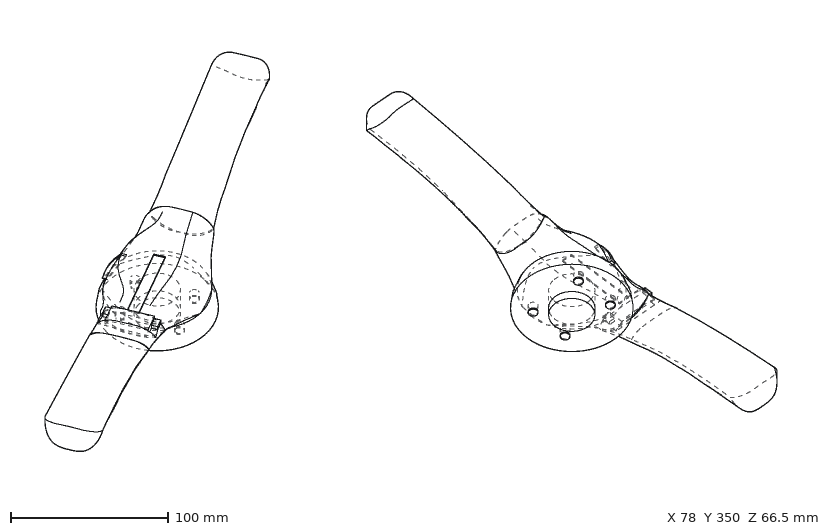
import cadquery as cq
import math


SPINDLE_RADIUS = 14.7
BASE_DIAMETER = 78.0
BASE_RADIUS = BASE_DIAMETER / 2
BASE_TOP_RADIUS = 34.5
BASE_BOTTOM_Z = 6.3
BASE_TOP_Z = 22.5
SCREW_RADIUS = 3.0
SCREW_X = 20.0
SCREW_Y = 14.7
SCREW_PROUD = 1.0
SCREW_DEPTH = 5.2

LENGTH = 350.0
HALF_LENGTH = LENGTH / 2
CROWN_RADIUS = 140.0
HUB_TOP_Z = 49.0
NECK_Y = 48.0
NECK_BOTTOM_Z = 28.0
NECK_EDGE_Z = 38.5
NECK_HALF_WIDTH = 21.7
NECK_CROWN = 7.7
GRIP_ROOT_Y = 76.0
GRIP_CROWN = 11.0
GRIP_END_HALF_WIDTH = 19.5
GRIP_CORNER_RADIUS = 11.2
SHOULDER_END_DIRECTION = (0.5, -1)
FLAT_TOP_BULGE = 0.88

GROOVE_HALF_WIDTH = 4.0
GROOVE_END_Y = 4.5
GROOVE_DEPTH = 1.0
POCKET_LENGTH = 13.3
POCKET_START_Y = -NECK_Y - POCKET_LENGTH
POCKET_FLOOR_Z = 44.0

LATCH_HALF_WIDTH = 14.5
LATCH_TAB_HALF_WIDTH = 18.5
LATCH_TAB_LENGTH = 6.3
LATCH_TAB_TOP_Z = 47.0

POINTER_TOP = (-24.0, 46.5)
POINTER_MIDDLE = (-31.0, 36.8)
POINTER_BOTTOM = (-36.5, BASE_TOP_Z)
POINTER_TOP_HALF_WIDTH = 0.7
POINTER_HALF_WIDTH = 1.58
POINTER_THICKNESS = 3.5

CLEARANCE = 35.0


def block(half_width, y_start, y_end, z_bottom, z_top):
    """Box centred on X between two Y and two Z positions."""
    box = cq.Workplane("XY").box(
        2 * half_width, y_end - y_start, z_top - z_bottom, centered=(True, False, False)
    )
    return box.translate((0, y_start, z_bottom))


def loft(sections):
    return cq.Workplane(obj=cq.Solid.makeLoft(sections))


def crown_z(x, top_z):
    """Height of the crown at a distance x from the middle."""
    return top_z - CROWN_RADIUS + math.sqrt(CROWN_RADIUS**2 - x**2)


def bowed_wall(sketch, start, end, bulge):
    """Add an arc from start to end whose middle lies bulge to the left of the straight chord."""
    run = end[0] - start[0]
    rise = end[1] - start[1]
    chord = math.hypot(run, rise)
    middle = (
        (start[0] + end[0]) / 2 - bulge * rise / chord,
        (start[1] + end[1]) / 2 + bulge * run / chord,
    )
    return sketch.threePointArc(middle, end)


def hub_section(y, bottom_z, edge_z, half_width, crown_left, crown_right, bulge_left, bulge_right):
    """Section of the hub, whose crown reaches further towards -X than towards +X."""
    left_crown = (-crown_left, crown_z(crown_left, HUB_TOP_Z))
    right_crown = (crown_right, crown_z(crown_right, HUB_TOP_Z))
    left_edge = (-half_width, edge_z)
    right_edge = (half_width, edge_z)
    sketch = cq.Workplane("XZ", origin=(0, y, 0)).moveTo(*left_crown)
    sketch = sketch.threePointArc((0, HUB_TOP_Z), right_crown)
    sketch = bowed_wall(sketch, right_crown, right_edge, bulge_right)
    sketch = sketch.threePointArc((0, bottom_z), left_edge)
    sketch = bowed_wall(sketch, left_edge, left_crown, bulge_left)
    return sketch.close().val()


def make_hub():
    def end(y):
        return hub_section(
            y, bottom_z=NECK_BOTTOM_Z, edge_z=NECK_EDGE_Z, half_width=NECK_HALF_WIDTH,
            crown_left=NECK_CROWN, crown_right=NECK_CROWN, bulge_left=2.5, bulge_right=2.5,
        )

    def shoulder(y):
        return hub_section(
            y, bottom_z=24.5, edge_z=33.5, half_width=24.5,
            crown_left=11.0, crown_right=8.8, bulge_left=2.0, bulge_right=2.8,
        )

    def flank(y):
        return hub_section(
            y, bottom_z=19.2, edge_z=28.0, half_width=28.0,
            crown_left=15.8, crown_right=10.5, bulge_left=1.5, bulge_right=2.5,
        )

    def waist(y):
        return hub_section(
            y, bottom_z=14.0, edge_z=BASE_TOP_Z, half_width=33.0,
            crown_left=22.5, crown_right=12.5, bulge_left=0.7, bulge_right=2.0,
        )

    middle = hub_section(
        0, bottom_z=12.2, edge_z=20.0, half_width=BASE_TOP_RADIUS,
        crown_left=24.0, crown_right=13.3, bulge_left=0.7, bulge_right=2.0,
    )
    front_half = [end(-NECK_Y), shoulder(-36.8), flank(-24.5), waist(-11.5)]
    rear_half = [waist(11.5), flank(24.5), shoulder(36.8), end(NECK_Y)]
    return loft([*front_half, middle, *rear_half])


def arm_section(y, top_z, bottom_z, edge_z, half_width, crown=GRIP_CROWN, flat_top=False):
    """Symmetric section in two halves. A flat top meets the shoulders in a crease."""
    right_crown = (crown, crown_z(crown, top_z))
    left_crown = (-crown, right_crown[1])
    right_edge = (half_width, edge_z)
    left_edge = (-half_width, edge_z)
    half_crown = crown / 2
    half_crown_z = crown_z(half_crown, top_z)
    belly_x = half_width * math.sqrt(0.5)
    belly_z = edge_z - (edge_z - bottom_z) * math.sqrt(0.5)

    sketch = cq.Workplane("XZ", origin=(0, y, 0)).moveTo(0, top_z)
    if flat_top:
        sketch = sketch.threePointArc((half_crown, half_crown_z), right_crown)
        sketch = bowed_wall(sketch, right_crown, right_edge, FLAT_TOP_BULGE)
    else:
        directions = [(1, 0), SHOULDER_END_DIRECTION]
        sketch = sketch.spline([right_crown, right_edge], tangents=directions, includeCurrent=True)

    sketch = sketch.threePointArc((belly_x, belly_z), (0, bottom_z))
    sketch = sketch.threePointArc((-belly_x, belly_z), left_edge)

    if flat_top:
        sketch = bowed_wall(sketch, left_edge, left_crown, FLAT_TOP_BULGE)
        sketch = sketch.threePointArc((-half_crown, half_crown_z), (0, top_z))
    else:
        directions = [(SHOULDER_END_DIRECTION[0], -SHOULDER_END_DIRECTION[1]), (1, 0)]
        sketch = sketch.spline([left_crown, (0, top_z)], tangents=directions, includeCurrent=True)
    return sketch.close().val()


def grip_root_section(flat_top=False):
    return arm_section(
        GRIP_ROOT_Y, top_z=53.0, bottom_z=34.3, edge_z=47.5, half_width=20.0, flat_top=flat_top
    )


def make_neck():
    start = arm_section(
        NECK_Y, HUB_TOP_Z, NECK_BOTTOM_Z, NECK_EDGE_Z, NECK_HALF_WIDTH, crown=NECK_CROWN
    )
    middle = arm_section(61.2, top_z=50.8, bottom_z=31.0, edge_z=43.0, half_width=20.3, crown=9.0)
    return loft([start, middle, grip_root_section()])


def grip_plan():
    """Wide block whose +Y end narrows to the grip's end face through two rounded corners."""
    corner_x = GRIP_END_HALF_WIDTH - GRIP_CORNER_RADIUS
    corner_y = HALF_LENGTH - GRIP_CORNER_RADIUS
    return (
        cq.Workplane("XY")
        .moveTo(-CLEARANCE, 0)
        .lineTo(CLEARANCE, 0)
        .lineTo(CLEARANCE, corner_y)
        .lineTo(GRIP_END_HALF_WIDTH, corner_y)
        .radiusArc((corner_x, HALF_LENGTH), -GRIP_CORNER_RADIUS)
        .lineTo(-corner_x, HALF_LENGTH)
        .radiusArc((-GRIP_END_HALF_WIDTH, corner_y), -GRIP_CORNER_RADIUS)
        .lineTo(-CLEARANCE, corner_y)
        .close()
        .extrude(HALF_LENGTH)
    )


def make_grip(flat_top):
    inner = arm_section(
        105.0, top_z=59.5, bottom_z=39.2, edge_z=54.5, half_width=19.0, flat_top=flat_top
    )
    outer = arm_section(
        140.0, top_z=64.5, bottom_z=42.5, edge_z=59.0, half_width=19.0, flat_top=flat_top
    )
    end = arm_section(
        HALF_LENGTH, top_z=66.5, bottom_z=45.5, edge_z=61.2, half_width=GRIP_END_HALF_WIDTH,
        flat_top=flat_top,
    )
    return loft([grip_root_section(flat_top), inner, outer, end]).intersect(grip_plan())


def make_arm(flat_top):
    """Arm along +Y, from the hub to its free end."""
    return make_neck().union(make_grip(flat_top))


def make_handle(pointer):
    rear_arm = make_arm(flat_top=False)
    front_arm = make_arm(flat_top=True).mirror("XZ")
    handle = make_hub().union(rear_arm).union(front_arm)

    above = HUB_TOP_Z + CLEARANCE
    below_base_top = block(BASE_RADIUS, -HALF_LENGTH, HALF_LENGTH, 0, BASE_TOP_Z)
    groove = block(GROOVE_HALF_WIDTH, -NECK_Y, GROOVE_END_Y, HUB_TOP_Z - GROOVE_DEPTH, above)
    pocket = block(CLEARANCE, POCKET_START_Y, -NECK_Y, POCKET_FLOOR_Z, above)
    return handle.cut(below_base_top).cut(groove).cut(pocket).cut(pointer)


def make_latch():
    plate = block(LATCH_HALF_WIDTH, POCKET_START_Y, -NECK_Y, POCKET_FLOOR_Z, HUB_TOP_Z)
    tab_start_y = -NECK_Y - LATCH_TAB_LENGTH
    tab = block(LATCH_TAB_HALF_WIDTH, tab_start_y, -NECK_Y, POCKET_FLOOR_Z, LATCH_TAB_TOP_Z)
    return plate.union(tab)


def make_pointer():
    top_x, top_z = POINTER_TOP
    bottom_x, bottom_z = POINTER_BOTTOM
    strip = (
        cq.Workplane("XZ")
        .moveTo(top_x, top_z)
        .threePointArc(POINTER_MIDDLE, POINTER_BOTTOM)
        .lineTo(bottom_x + POINTER_THICKNESS, bottom_z)
        .lineTo(top_x + POINTER_THICKNESS, top_z)
        .close()
        .extrude(POINTER_HALF_WIDTH, both=True)
    )
    taper_outline = [
        (-POINTER_HALF_WIDTH, bottom_z),
        (POINTER_HALF_WIDTH, bottom_z),
        (POINTER_TOP_HALF_WIDTH, top_z),
        (-POINTER_TOP_HALF_WIDTH, top_z),
    ]
    taper = cq.Workplane("YZ").polyline(taper_outline).close().extrude(bottom_x - CLEARANCE)
    return strip.intersect(taper)


def make_spindle():
    return cq.Workplane("XY").circle(SPINDLE_RADIUS).extrude(BASE_TOP_Z)


def make_screw(x, y):
    start_z = BASE_BOTTOM_Z - SCREW_PROUD
    return (
        cq.Workplane("XY", origin=(x, y, start_z))
        .circle(SCREW_RADIUS)
        .extrude(SCREW_PROUD + SCREW_DEPTH)
    )


def make_base(inserts):
    height = BASE_TOP_Z - BASE_BOTTOM_Z
    inset = BASE_RADIUS - BASE_TOP_RADIUS
    flank_radius = (height**2 + inset**2) / (2 * inset)
    base = (
        cq.Workplane("XZ")
        .moveTo(0, BASE_BOTTOM_Z)
        .lineTo(BASE_RADIUS, BASE_BOTTOM_Z)
        .radiusArc((BASE_TOP_RADIUS, BASE_TOP_Z), -flank_radius)
        .lineTo(0, BASE_TOP_Z)
        .close()
        .revolve(360, (0, 0, 0), (0, 1, 0))
    )
    for insert in inserts:
        base = base.cut(insert)
    return base


spindle = make_spindle()
screws = [make_screw(x, y) for x in (-SCREW_X, SCREW_X) for y in (-SCREW_Y, SCREW_Y)]
base = make_base([spindle, *screws])
latch = make_latch()
pointer = make_pointer()
handle = make_handle(pointer)

bodies = [handle, base, spindle, latch, pointer, *screws]
result = cq.Compound.makeCompound([body.solids().val() for body in bodies])